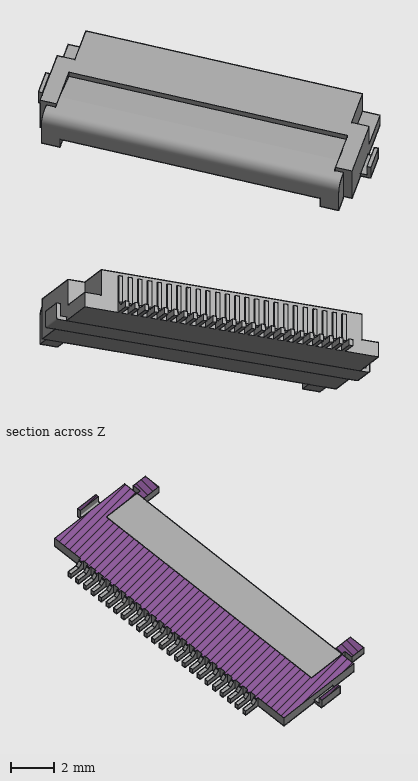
import cadquery as cq


overall_width = 16.1
overall_depth = 6.4
height = 2.0

housing_width = 15.1
housing_front = 1.0
housing_rear = 5.6
corner_step_width = 0.85
corner_step_front = 3.8
corner_step_height = 0.72

contact_count = 24
contact_row_span = 11.5
contact_pitch = contact_row_span / (contact_count - 1)
contact_width = 0.2
contact_top = 1.8
contact_proud = 0.1
contact_foot_height = 0.3
contact_bend = 0.2

slider_width = 14.4
slider_bar_depth = 0.8
slider_underside = 0.15
slider_edge_radius = 0.5
tongue_width = 13.49
tongue_rear = 3.0
tongue_slope_front = 1.43
tongue_slope_drop = 0.3

cable_opening_width = 12.59
cable_opening_top = 0.72
cable_floor_height = 0.58

strap_front = 2.4
strap_rear = 3.6
strap_thickness = 0.2
strap_end_height = 0.8
strap_outer_radius = 0.08
strap_inner_radius = 0.03


def box_between(x_min, x_max, y_min, y_max, z_min, z_max):
    """Box that spans the given ranges along X, Y and Z."""
    size = (x_max - x_min, y_max - y_min, z_max - z_min)
    return cq.Workplane("XY").box(*size, centered=False).translate((x_min, y_min, z_min))


def centred_box(width, y_min, y_max, z_min, z_max):
    """Box of the given width, centred along X."""
    return box_between(-width / 2, width / 2, y_min, y_max, z_min, z_max)


def make_contact(x_centre):
    """Contact that runs down the rear wall and bends back into a solder foot."""
    stem_rear = housing_rear + contact_proud
    profile = (
        cq.Workplane("YZ")
        .moveTo(housing_rear, 0)
        .lineTo(overall_depth, 0)
        .lineTo(overall_depth, contact_foot_height)
        .lineTo(stem_rear + contact_bend, contact_foot_height)
        .lineTo(stem_rear, contact_foot_height + contact_bend)
        .lineTo(stem_rear, contact_top)
        .lineTo(housing_rear, contact_top)
        .close()
    )
    return profile.extrude(contact_width / 2, both=True).translate((x_centre, 0, 0))


def make_housing():
    """Housing with stepped rear corners, a slider pocket, a strap channel and its contacts."""
    housing = centred_box(housing_width, housing_front, housing_rear, 0, height)

    step_outer = housing_width / 2
    step_inner = step_outer - corner_step_width
    for x_min, x_max in ((-step_outer, -step_inner), (step_inner, step_outer)):
        housing = housing.cut(
            box_between(x_min, x_max, corner_step_front, housing_rear, corner_step_height, height)
        )

    pocket = centred_box(tongue_width, housing_front, tongue_rear, cable_floor_height, height)
    strap_channel = centred_box(housing_width, strap_front, strap_rear, 0, strap_thickness)
    housing = housing.cut(pocket).cut(strap_channel)

    for index in range(contact_count):
        housing = housing.union(make_contact(index * contact_pitch - contact_row_span / 2))
    return housing


def make_slider():
    """Slider with a rounded front bar, legs beside the cable opening and a sloping tongue."""
    bar = centred_box(slider_width, 0, slider_bar_depth, slider_underside, height)
    bar = bar.edges("<Y and >Z").fillet(slider_edge_radius)

    neck = centred_box(tongue_width, slider_bar_depth, housing_front, slider_underside, height)
    cable_opening = centred_box(
        cable_opening_width, 0, housing_front, slider_underside, cable_opening_top
    )

    tongue = (
        cq.Workplane("YZ")
        .moveTo(housing_front, cable_opening_top)
        .lineTo(tongue_rear, cable_opening_top)
        .lineTo(tongue_rear, height - tongue_slope_drop)
        .lineTo(tongue_slope_front, height)
        .lineTo(housing_front, height)
        .close()
        .extrude(tongue_width / 2, both=True)
    )
    return bar.union(neck).cut(cable_opening).union(tongue)


def make_strap():
    """Sheet metal strap that crosses under the housing and turns up at both ends."""
    strap = centred_box(overall_width, strap_front, strap_rear, 0, strap_end_height)
    strap = strap.edges("|Y and <Z").fillet(strap_outer_radius)
    inner_width = overall_width - 2 * strap_thickness
    inside = centred_box(inner_width, strap_front, strap_rear, strap_thickness, strap_end_height)
    inside = inside.edges("|Y and <Z").fillet(strap_inner_radius)
    return strap.cut(inside)


housing = make_housing()
slider = make_slider()
strap = make_strap()

result = cq.Compound.makeCompound([housing.val(), slider.val(), strap.val()])